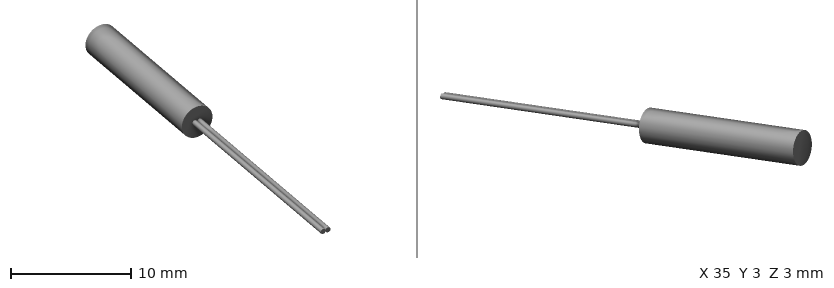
import cadquery as cq

total_length = 35.0
housing_length = 15.0
housing_diameter = 3.0
wire_diameter = 0.5
wire_overlap = 0.007

wire_spacing = wire_diameter - wire_overlap


def make_twin_lead():
    """Two parallel round wires along X, joined along their line of contact."""
    wires = [
        cq.Workplane("YZ").center(side * wire_spacing / 2, 0).circle(wire_diameter / 2).extrude(total_length)
        for side in (-1, 1)
    ]
    return wires[0].union(wires[1])


def make_housing(lead):
    """Round housing with a through passage that fits the twin lead."""
    cylinder = cq.Workplane("YZ").circle(housing_diameter / 2).extrude(housing_length)
    return cylinder.cut(lead)


twin_lead = make_twin_lead()
housing = make_housing(twin_lead)

result = cq.Compound.makeCompound([housing.solids().val(), twin_lead.solids().val()])